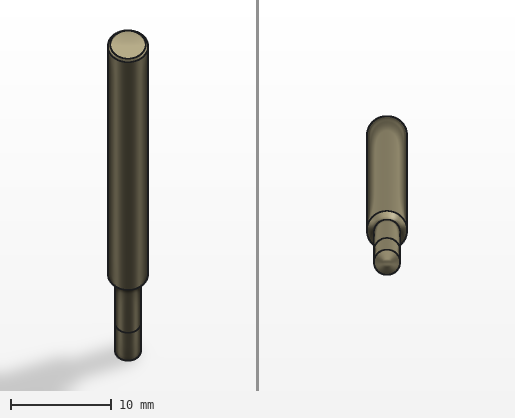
import cadquery as cq
import math

total_length = 50.0
shank_radius = 4.0 / 2
drill_radius = 2.6 / 2

top_chamfer = 0.25
shoulder_angle = 45.0
neck_top = 12.15

tip_top = 5.0
point_angle = 140.0

shoulder_height = (shank_radius - drill_radius) / math.tan(math.radians(shoulder_angle))
shoulder_top = neck_top + shoulder_height
point_height = drill_radius / math.tan(math.radians(point_angle / 2))


def revolve_profile(points):
    """Turn a closed (radius, height) outline about the Z axis."""
    outline = cq.Workplane("XZ").polyline(points).close()
    return outline.revolve(360, (0, 0, 0), (0, 1, 0))


def make_shank():
    """Thick gripping cylinder with a chamfered top and a conical shoulder."""
    return revolve_profile([
        (0, neck_top),
        (drill_radius, neck_top),
        (shank_radius, shoulder_top),
        (shank_radius, total_length - top_chamfer),
        (shank_radius - top_chamfer, total_length),
        (0, total_length),
    ])


def make_neck():
    """Plain cylinder between the shank and the cutting tip."""
    return cq.Workplane("XY").workplane(offset=tip_top).circle(drill_radius).extrude(neck_top - tip_top)


def make_cutting_tip():
    """Cylinder that ends in a conical drill point."""
    return revolve_profile([
        (0, 0),
        (drill_radius, point_height),
        (drill_radius, tip_top),
        (0, tip_top),
    ])


shank = make_shank()
neck = make_neck()
cutting_tip = make_cutting_tip()

result = cq.Compound.makeCompound([shank.val(), neck.val(), cutting_tip.val()])